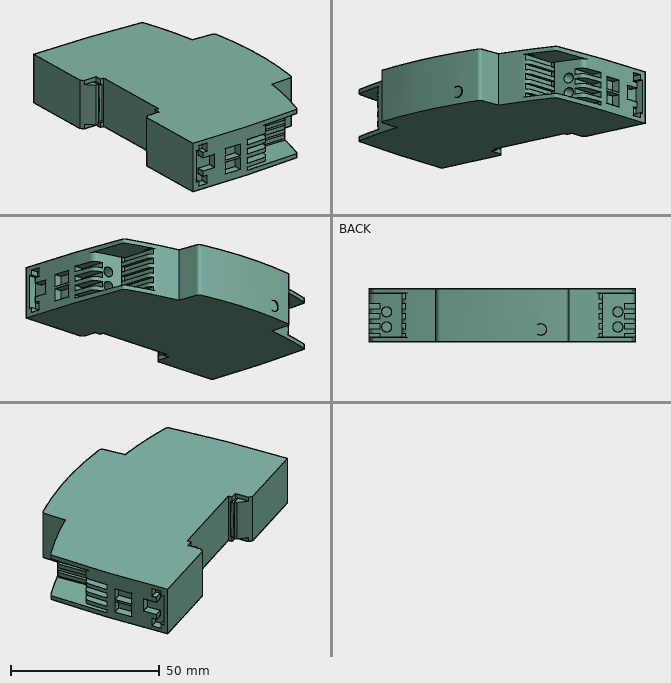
import cadquery as cq
import math


WIDTH = 90.0
DEPTH = 60.83
THICKNESS = 18.0
HALF_WIDTH = WIDTH / 2
TAPER_START_Y = 23.0
SHOULDER_HALF_WIDTH = 43.8
NECK_HALF_WIDTH = 22.5
NECK_Y = 50.0
NOSE_HALF_WIDTH = 22.0
FRONT_RADIUS = 130.0
SHOULDER_RADIUS = 142.0
SHOULDER_CENTRE_Y = NECK_Y - math.sqrt(SHOULDER_RADIUS**2 - NECK_HALF_WIDTH**2)
SHOULDER_CORNER_RADIUS = 1.2
NOSE_CORNER_RADIUS = 1.3

LENS_X = -13.0
LENS_Z = 4.2
LENS_DIAMETER = 3.9
LENS_PROTRUSION = 0.1
LENS_LENGTH = 2.0

NOTCH_HALF_WIDTH = 15.4
NOTCH_DEPTH = 7.46
UNDERCUT_HALF_WIDTH = 17.77
UNDERCUT_DEPTH = 6.03
MOUTH_HALF_WIDTH = 18.8
MOUTH_CHAMFER_Y = 1.1

CLIP_MARGIN_Z = 1.6
CLIP_TIP_HALF_WIDTH = 15.3
CLIP_TIP_Y = 4.1
CLIP_TOP_Y = 5.15
TONGUE_MARGIN_Z = 2.0
TONGUE_TIP_HALF_WIDTH = 15.05
TONGUE_TOP_Y = 6.4
TONGUE_BULGE = 0.25

RECESS_WALL_Z = 1.5
RECESS_DRAFT = 0.25
RECESS_WALL_X = 33.75
RECESS_FLOOR_Y = 34.0
RECESS_FLOOR_RADIUS = 170.0
RECESS_FLOOR_CENTRE_Y = RECESS_FLOOR_Y - math.sqrt(RECESS_FLOOR_RADIUS**2 - RECESS_WALL_X**2)
RIB_CORNER_RADIUS = 2.2
FLOOR_CORNER_RADIUS = 2.2

SLOT_PITCH = 3.4
SLOT_HEIGHT = 1.93
SLOT_COUNT = 5
TOP_SLOT_Z = 14.52
UPPER_SLOT_BACK_X = 32.6
LOWER_SLOT_BACK_X = 41.3

SCREW_X = 39.0
SCREW_DIAMETER = 3.4
SCREW_SHAFT_END_Y = 22.0
OPENING_DEPTH = 2.9
WIRE_Y = (13.65, 19.95)
WIRE_HEIGHT = 4.3
WIRE_BOTTOM_Z = (2.9, 8.0)
LATCH_HALF_HEIGHT = 7.5
LATCH_FOOT_HALF_HEIGHT = 5.8
LATCH_NECK_HALF_HEIGHT = 4.45
LATCH_STEM_HALF_HEIGHT = 2.45
LATCH_FOOT_Y = 1.45
LATCH_BAR_Y = 2.6
LATCH_NECK_Y = 4.25
LATCH_HOOK_Y = 6.0
LATCH_STEM_Y = 9.15


def arc_y(x, radius, centre_y):
    """Height of an arc centred on the YZ plane."""
    return centre_y + math.sqrt(radius**2 - x**2)


def shoulder_y(x):
    return arc_y(x, SHOULDER_RADIUS, SHOULDER_CENTRE_Y)


def recess_floor_y(x):
    return arc_y(x, RECESS_FLOOR_RADIUS, RECESS_FLOOR_CENTRE_Y)


def both_sides(left):
    """A left-hand shape together with its mirror image on the right."""
    return left.union(left.mirror("YZ"))


def near(x, y, reach=0.8):
    """Selector for the edges along Z that pass close to (x, y)."""
    return cq.selectors.BoxSelector((x - reach, y - reach, -1), (x + reach, y + reach, THICKNESS + 1))


def housing():
    mid_x = (SHOULDER_HALF_WIDTH + NECK_HALF_WIDTH) / 2
    nose_y = arc_y(NOSE_HALF_WIDTH, FRONT_RADIUS, DEPTH - FRONT_RADIUS)
    shoulder_end_y = shoulder_y(SHOULDER_HALF_WIDTH)
    body = (
        cq.Workplane("XY")
        .moveTo(-HALF_WIDTH, 0)
        .lineTo(-HALF_WIDTH, TAPER_START_Y)
        .lineTo(-SHOULDER_HALF_WIDTH, shoulder_end_y)
        .threePointArc((-mid_x, shoulder_y(mid_x)), (-NECK_HALF_WIDTH, NECK_Y))
        .lineTo(-NOSE_HALF_WIDTH, nose_y)
        .threePointArc((0, DEPTH), (NOSE_HALF_WIDTH, nose_y))
        .lineTo(NECK_HALF_WIDTH, NECK_Y)
        .threePointArc((mid_x, shoulder_y(mid_x)), (SHOULDER_HALF_WIDTH, shoulder_end_y))
        .lineTo(HALF_WIDTH, TAPER_START_Y)
        .lineTo(HALF_WIDTH, 0)
        .close()
        .extrude(THICKNESS)
    )
    for side in (-1, 1):
        shoulder_corner = near(side * SHOULDER_HALF_WIDTH, shoulder_end_y)
        body = body.edges("|Z").edges(shoulder_corner).fillet(SHOULDER_CORNER_RADIUS)
        nose_corner = near(side * NOSE_HALF_WIDTH, nose_y)
        body = body.edges("|Z").edges(nose_corner).fillet(NOSE_CORNER_RADIUS)
    return body


def indicator_lens():
    end_y = arc_y(LENS_X, FRONT_RADIUS, DEPTH - FRONT_RADIUS) + LENS_PROTRUSION
    return (
        cq.Workplane("XZ", origin=(LENS_X, end_y, LENS_Z))
        .circle(LENS_DIAMETER / 2)
        .extrude(LENS_LENGTH)
    )


def rail_notch():
    left_half = [
        (-MOUTH_HALF_WIDTH, 0),
        (-UNDERCUT_HALF_WIDTH, MOUTH_CHAMFER_Y),
        (-UNDERCUT_HALF_WIDTH, UNDERCUT_DEPTH),
        (-NOTCH_HALF_WIDTH, UNDERCUT_DEPTH),
        (-NOTCH_HALF_WIDTH, NOTCH_DEPTH),
    ]
    right_half = [(-x, y) for x, y in reversed(left_half)]
    return cq.Workplane("XY").polyline(left_half + right_half).close().extrude(THICKNESS)


def rail_clip():
    """Left clip: a wedge below a tongue whose free edge bulges towards the rail."""
    height = THICKNESS - 2 * CLIP_MARGIN_Z
    root_x = -UNDERCUT_HALF_WIDTH
    tip_x = -CLIP_TIP_HALF_WIDTH
    wedge = (
        cq.Workplane("XY", origin=(0, 0, CLIP_MARGIN_Z))
        .polyline([(root_x, MOUTH_CHAMFER_Y), (tip_x, CLIP_TIP_Y), (tip_x, CLIP_TOP_Y), (root_x, CLIP_TOP_Y)])
        .close()
        .extrude(height)
    )
    tongue_x = -TONGUE_TIP_HALF_WIDTH
    tongue_top_z = THICKNESS - TONGUE_MARGIN_Z
    tongue = (
        cq.Workplane("XZ", origin=(0, TONGUE_TOP_Y, 0))
        .moveTo(root_x, TONGUE_MARGIN_Z)
        .lineTo(tongue_x, TONGUE_MARGIN_Z)
        .threePointArc((tongue_x + TONGUE_BULGE, THICKNESS / 2), (tongue_x, tongue_top_z))
        .lineTo(root_x, tongue_top_z)
        .close()
        .extrude(TONGUE_TOP_Y - CLIP_TOP_Y)
    )
    return wedge.union(tongue)


def recess_envelope():
    """Space between the two shoulder plates, narrowing slightly towards the rail."""
    low_y = TAPER_START_Y
    high_y = NECK_Y
    foot_z = RECESS_WALL_Z + RECESS_DRAFT
    return (
        cq.Workplane("YZ", origin=(-WIDTH, 0, 0))
        .polyline([
            (low_y, foot_z),
            (high_y, RECESS_WALL_Z),
            (high_y, THICKNESS - RECESS_WALL_Z),
            (low_y, THICKNESS - foot_z),
        ])
        .close()
        .extrude(WIDTH)
    )


def recess():
    """Left recess: behind the shoulder edge, down to a gently arched floor."""
    mid_x = (RECESS_WALL_X + HALF_WIDTH) / 2
    profile = (
        cq.Workplane("XY")
        .moveTo(-RECESS_WALL_X, NECK_Y)
        .lineTo(-RECESS_WALL_X, RECESS_FLOOR_Y)
        .threePointArc((-mid_x, recess_floor_y(mid_x)), (-HALF_WIDTH, recess_floor_y(HALF_WIDTH)))
        .lineTo(-HALF_WIDTH, NECK_Y)
        .close()
        .extrude(THICKNESS)
    )
    return profile.intersect(recess_envelope())


def slot(back_x, bottom_y, top_y, bottom_z):
    return (
        cq.Workplane("XY")
        .box(HALF_WIDTH - back_x, top_y - bottom_y, SLOT_HEIGHT, centered=False)
        .translate((-HALF_WIDTH, bottom_y, bottom_z))
    )


def rib_slots():
    """Left slots: five in the recess wall, the lower four repeated in the side wall."""
    floor_y = recess_floor_y(UPPER_SLOT_BACK_X)
    slots = cq.Workplane("XY")
    for index in range(SLOT_COUNT):
        bottom_z = TOP_SLOT_Z - index * SLOT_PITCH
        wall_slot = slot(UPPER_SLOT_BACK_X, floor_y, NECK_Y, bottom_z)
        slots = slots.union(wall_slot)
        if index > 0:
            side_slot = slot(LOWER_SLOT_BACK_X, TAPER_START_Y, floor_y, bottom_z)
            slots = slots.union(side_slot)
    return slots


def screw_shafts():
    """Left shafts running down from the recess floor, one above each wire entry."""
    centres = [(-SCREW_X, bottom_z + WIRE_HEIGHT / 2) for bottom_z in WIRE_BOTTOM_Z]
    return (
        cq.Workplane("XZ", origin=(0, RECESS_FLOOR_Y, 0))
        .pushPoints(centres)
        .circle(SCREW_DIAMETER / 2)
        .extrude(RECESS_FLOOR_Y - SCREW_SHAFT_END_Y)
    )


def side_openings():
    """Wire entries and the stepped latch opening in the left side wall."""
    plane = cq.Workplane("YZ", origin=(-HALF_WIDTH, 0, 0))
    wire_length = WIRE_Y[1] - WIRE_Y[0]
    wire_centres = [(sum(WIRE_Y) / 2, bottom_z + WIRE_HEIGHT / 2) for bottom_z in WIRE_BOTTOM_Z]
    wires = plane.pushPoints(wire_centres).rect(wire_length, WIRE_HEIGHT).extrude(OPENING_DEPTH)
    upper_half = [
        (LATCH_FOOT_Y, LATCH_FOOT_HALF_HEIGHT),
        (LATCH_BAR_Y, LATCH_FOOT_HALF_HEIGHT),
        (LATCH_BAR_Y, LATCH_HALF_HEIGHT),
        (LATCH_HOOK_Y, LATCH_HALF_HEIGHT),
        (LATCH_HOOK_Y, LATCH_NECK_HALF_HEIGHT),
        (LATCH_NECK_Y, LATCH_NECK_HALF_HEIGHT),
        (LATCH_NECK_Y, LATCH_STEM_HALF_HEIGHT),
        (LATCH_STEM_Y, LATCH_STEM_HALF_HEIGHT),
    ]
    lower_half = [(y, -z) for y, z in reversed(upper_half)]
    latch = (
        plane.center(0, THICKNESS / 2)
        .polyline(upper_half + lower_half)
        .close()
        .extrude(OPENING_DEPTH)
    )
    return wires.union(latch)


def round_recess_corners(body):
    """Round the shoulder end of each recess wall and the outer end of each recess floor."""
    taper = (HALF_WIDTH - SHOULDER_HALF_WIDTH) / (shoulder_y(SHOULDER_HALF_WIDTH) - TAPER_START_Y)
    floor_end_y = recess_floor_y(HALF_WIDTH)
    floor_end_x = HALF_WIDTH - taper * (floor_end_y - TAPER_START_Y)
    for side in (-1, 1):
        rib_corner = near(side * RECESS_WALL_X, shoulder_y(RECESS_WALL_X))
        body = body.edges("|Z").edges(rib_corner).fillet(RIB_CORNER_RADIUS)
        floor_corner = near(side * floor_end_x, floor_end_y)
        body = body.edges("|Z").edges(floor_corner).fillet(FLOOR_CORNER_RADIUS)
    return body


body = housing().union(indicator_lens())
body = body.cut(rail_notch()).union(both_sides(rail_clip()))
body = round_recess_corners(body.cut(both_sides(recess())))
body = body.cut(both_sides(rib_slots().intersect(recess_envelope())))
body = body.cut(both_sides(screw_shafts()))
result = body.cut(both_sides(side_openings()))